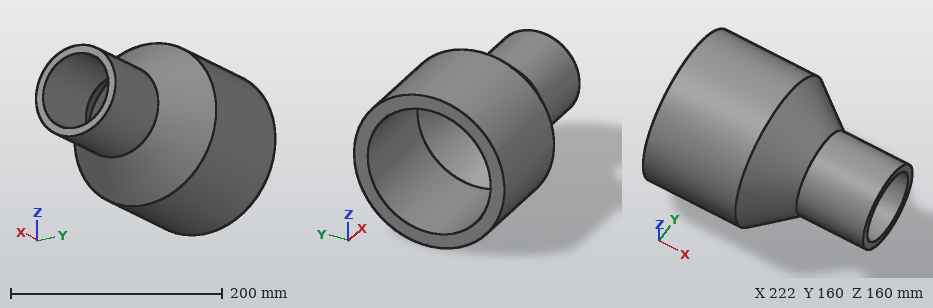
import cadquery as cq

total_length = 222.0
large_length = 102.1
small_length = 73.7

large_outer_diameter = 160.0
large_bore_diameter = 130.8
small_outer_diameter = 90.0
small_bore_diameter = 73.7

cone_end = total_length - small_length


def stepped_cone(large_diameter, small_diameter):
    """Solid of revolution: large cylinder, cone, then small cylinder."""
    large_radius = large_diameter / 2
    small_radius = small_diameter / 2
    return (
        cq.Workplane("XY")
        .moveTo(0, 0)
        .lineTo(0, large_radius)
        .lineTo(large_length, large_radius)
        .lineTo(cone_end, small_radius)
        .lineTo(total_length, small_radius)
        .lineTo(total_length, 0)
        .close()
        .revolve(360, (0, 0, 0), (1, 0, 0))
    )


body = stepped_cone(large_outer_diameter, small_outer_diameter)
bore = stepped_cone(large_bore_diameter, small_bore_diameter)

result = body.cut(bore)